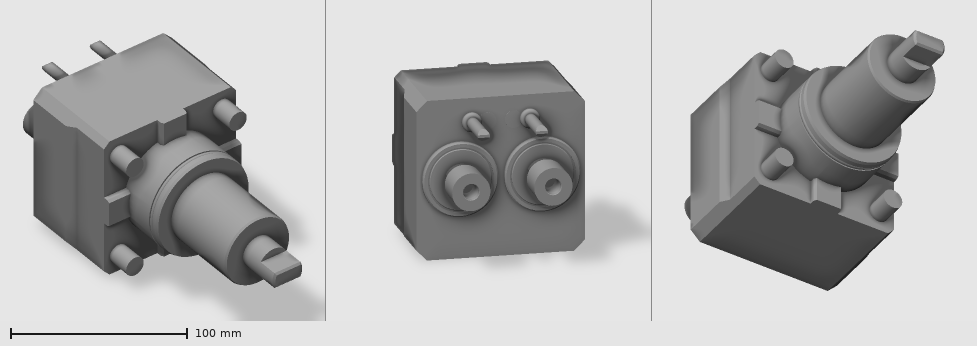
import cadquery as cq


housing_length = 63.8
housing_width = 98.0
housing_height = 94.0
rear_width = 93.5
taper_start = 30.7
taper_end = 38.3
corner_chamfer = 6.2

key_width = 18.1
key_depth = 5.0
key_bevel_depth = 2.0
key_bevel_width = 1.0

bolt_radius = 6.2
bolt_length = 15.5
bolt_y = 36.5
bolt_z = 35.0

flange_radius = 32.5
flange_length = 31.5
flange_bevel_length = 1.9
flange_bevel_height = 0.6
ring_start = 23.5
ring_width = 3.0

shank_radius = 22.6
shank_length = 51.5
shank_bevel_length = 1.5
shank_bevel_height = 0.6
drive_radius = 10.5
drive_round_length = 14.8
tang_length = 14.2
tang_thickness = 10.5
tang_chamfer = 1.2

spindle_y = 23.9
nut_radius = 22.0
nut_thickness = 3.0
nut_chamfer = 0.8
nut_groove_outer_radius = 19.1
nut_groove_inner_radius = 18.1
nut_groove_chamfer = 0.5
nut_groove_depth = 0.8
neck_radius = 9.7
neck_flat_distance = 17.7
neck_length = 7.5
neck_flat_length = 6.2
head_radius = 11.1
head_length = 18.1
bore_radius = 4.5
bore_depth = 14.5
bore_chamfer = 0.5

nozzle_z = 33.0
pin_y = 16.9
pin_radius = 3.5
pin_length = 30.0
pin_tip_length = 3.0
pin_tip_thickness = 1.6
seat_radius = 5.8
seat_height = 2.9
seat_fillet = 2.0
plug_y = 7.6
plug_radius = 5.1
plug_height = 0.2

flange_end = housing_length + flange_length
shank_end = flange_end + shank_length
drive_round_end = shank_end + drive_round_length
tang_end = drive_round_end + tang_length
bolt_end = housing_length + bolt_length
neck_front = -nut_thickness - neck_length
head_front = neck_front - head_length


def rod(x_start, x_end, radius, y=0, z=0):
    """Cylinder along X between two stations."""
    return cq.Workplane("YZ", origin=(x_start, y, z)).circle(radius).extrude(x_end - x_start)


def block(x_start, x_end, width, height, y=0):
    """Box centred on (y, 0) between two X stations."""
    box = cq.Workplane("YZ", origin=(x_start, y, 0)).rect(width, height)
    return box.extrude(x_end - x_start)


def make_housing():
    """Octagonal block whose sides step in towards the rear."""
    section = block(0, housing_length, housing_width, housing_height)
    section = section.edges("|X").chamfer(corner_chamfer)
    half_front = housing_width / 2
    half_rear = rear_width / 2
    plan = (
        cq.Workplane("XY")
        .moveTo(0, -half_front)
        .lineTo(taper_start, -half_front)
        .lineTo(taper_end, -half_rear)
        .lineTo(housing_length, -half_rear)
        .lineTo(housing_length, half_rear)
        .lineTo(taper_end, half_rear)
        .lineTo(taper_start, half_front)
        .lineTo(0, half_front)
        .close()
        .extrude(housing_height / 2, both=True)
    )
    return section.intersect(plan)


def make_key_bar(plane, span):
    """Bevelled key bar across the whole rear face, drawn in plan on the given plane."""
    half = key_width / 2
    bevel_start = housing_length + key_depth - key_bevel_depth
    key_end = housing_length + key_depth
    return (
        cq.Workplane(plane)
        .moveTo(housing_length, -half)
        .lineTo(bevel_start, -half)
        .lineTo(key_end, key_bevel_width - half)
        .lineTo(key_end, half - key_bevel_width)
        .lineTo(bevel_start, half)
        .lineTo(housing_length, half)
        .close()
        .extrude(span / 2, both=True)
    )


def make_shank():
    """Flange, sealing ring, shank and drive journal turned about the tool axis."""
    ring_x = housing_length + ring_start
    ring_radius = ring_width / 2
    ring_seat = flange_radius - ring_radius
    return (
        cq.Workplane("XY")
        .moveTo(housing_length, 0)
        .lineTo(housing_length, flange_radius)
        .lineTo(ring_x, flange_radius)
        .lineTo(ring_x, ring_seat)
        .threePointArc((ring_x + ring_radius, flange_radius), (ring_x + ring_width, ring_seat))
        .lineTo(ring_x + ring_width, flange_radius)
        .lineTo(flange_end - flange_bevel_length, flange_radius)
        .lineTo(flange_end, flange_radius - flange_bevel_height)
        .lineTo(flange_end, shank_radius)
        .lineTo(shank_end - shank_bevel_length, shank_radius)
        .lineTo(shank_end, shank_radius - shank_bevel_height)
        .lineTo(shank_end, drive_radius)
        .lineTo(drive_round_end, drive_radius)
        .lineTo(drive_round_end, 0)
        .close()
        .revolve(360, (0, 0, 0), (1, 0, 0))
    )


def make_tang():
    """Flat drive tang with a chamfered end."""
    tang = rod(drive_round_end, tang_end, drive_radius)
    tang = tang.intersect(block(drive_round_end, tang_end, 2 * drive_radius, tang_thickness))
    return tang.faces(">X").chamfer(tang_chamfer)


def make_spindle(y):
    """Clamping nut, neck with two wrench flats and a bored head."""
    nut = rod(-nut_thickness, 0, nut_radius, y).faces("<X").chamfer(nut_chamfer)
    groove_floor = nut_groove_depth - nut_thickness
    groove = rod(-nut_thickness, groove_floor, nut_groove_outer_radius, y)
    face_disc = rod(-nut_thickness, groove_floor, nut_groove_inner_radius, y)
    groove = groove.cut(face_disc.faces("<X").chamfer(nut_groove_chamfer))

    neck = rod(neck_front, -nut_thickness, neck_radius, y)
    flat_start = -nut_thickness - neck_flat_length
    collar = rod(neck_front, flat_start, neck_radius, y)
    flats = block(flat_start, -nut_thickness, neck_flat_distance, 2 * neck_radius, y)
    neck = neck.intersect(flats.union(collar))

    bore_mouth = bore_radius + bore_chamfer
    bored_head = (
        cq.Workplane("XY", origin=(0, y, 0))
        .moveTo(head_front, bore_mouth)
        .lineTo(head_front, head_radius)
        .lineTo(neck_front, head_radius)
        .lineTo(neck_front, 0)
        .lineTo(head_front + bore_depth, 0)
        .lineTo(head_front + bore_depth, bore_radius)
        .lineTo(head_front + bore_chamfer, bore_radius)
        .close()
        .revolve(360, (0, 0, 0), (1, 0, 0))
    )
    return nut.cut(groove).union(neck).union(bored_head)


def make_coolant_pin(y):
    """Round pin with a chisel tip, standing on a rounded seat."""
    pin = rod(-pin_length, 0, pin_radius, y, nozzle_z)
    chisel = (
        cq.Workplane("XZ", origin=(0, y, nozzle_z))
        .moveTo(-pin_length, -pin_tip_thickness / 2)
        .lineTo(pin_tip_length - pin_length, -pin_radius)
        .lineTo(0, -pin_radius)
        .lineTo(0, pin_radius)
        .lineTo(pin_tip_length - pin_length, pin_radius)
        .lineTo(-pin_length, pin_tip_thickness / 2)
        .close()
        .extrude(pin_radius, both=True)
    )
    seat = rod(-seat_height, 0, seat_radius, y, nozzle_z).faces("<X").fillet(seat_fillet)
    return pin.intersect(chisel).union(seat)


result = make_housing()
result = result.union(make_key_bar("XY", housing_height))
result = result.union(make_key_bar("XZ", rear_width))
result = result.union(make_shank())
result = result.union(make_tang())

for side in (-1, 1):
    result = result.union(make_spindle(side * spindle_y))
    result = result.union(make_coolant_pin(side * pin_y))
    result = result.union(rod(-plug_height, 0, plug_radius, side * plug_y, nozzle_z))
    for level in (-1, 1):
        result = result.union(rod(housing_length, bolt_end, bolt_radius, side * bolt_y, level * bolt_z))